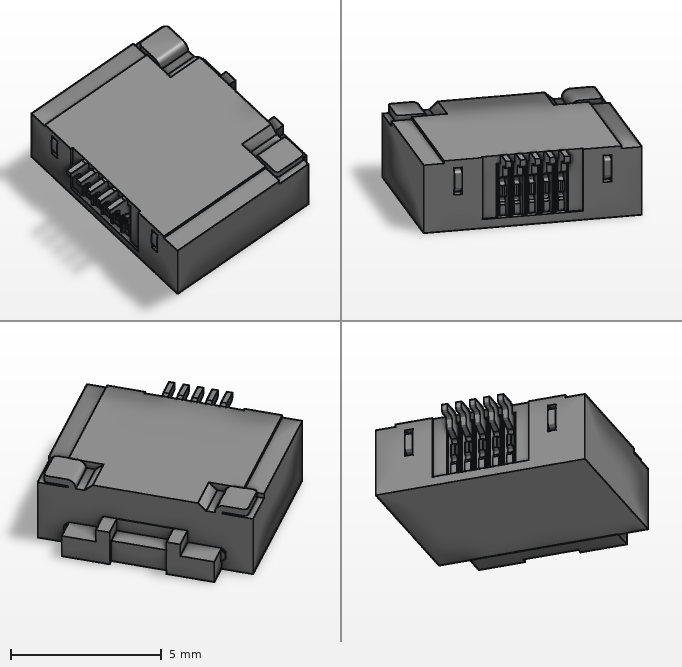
import cadquery as cq


WIDTH = 7.45
DEPTH = 5.71
SHOULDER_HEIGHT = 2.4
DECK_HEIGHT = 2.49
DECK_WIDTH = 6.06
TOP_HEIGHT = 2.55

POCKET_LENGTH = 1.27
POCKET_FLOOR = 2.23
POCKET_TOP_X = 1.82
POCKET_FOOT_X = 2.11

NAIL_OUTER_X = 3.525
NAIL_INNER_X = 2.41
NAIL_LENGTH = 1.21
NAIL_THICKNESS = 0.26
NAIL_BEND_RADIUS = 0.305
NAIL_CORNER_RADIUS = 0.14
NAIL_LEG_EMBED = 0.075
NAIL_LEG_BOTTOM = POCKET_FLOOR - NAIL_LEG_EMBED

NAIL_END_WIDTH = 0.26
NAIL_END_REACH = 0.02
NAIL_HOLE_X = 2.55
NAIL_HOLE_WIDTH = 0.28
NAIL_HOLE_BOTTOM = 1.26
NAIL_HOLE_DEPTH = 0.3
NAIL_HOLE_TOP = 2.205
NAIL_END_ROOT_Z = 2.175
NAIL_FACE_TOP = 1.98
NAIL_FACE_BOTTOM = 1.56

RECESS_WIDTH = 3.435
RECESS_DEPTH = 0.08
CAVITY_BOTTOM = 0.31
CAVITY_TOP = NAIL_HOLE_TOP
CAVITY_BACK = 0.45

CONTACT_COUNT = 5
PITCH = 0.5
CAVITY_WIDTH = CONTACT_COUNT * PITCH
CONTACT_WIDTH = 0.2
CONTACT_REACH = 0.7
RAMP_TOP_Y = -0.05
TAIL_TIP_BOTTOM = 2.39
TAIL_UNDERSIDE = 2.265
NECK_Y = -0.275
NECK_TOP = 2.12
NECK_BOTTOM = 1.95
UPPER_NOTCH_Y = 0.18
UPPER_NOTCH_TOP = 1.67
LOWER_NOTCH_Y = 0.17
LOWER_NOTCH_BOTTOM = 0.81
TINE_Y = 0.13
TINE_TOP = 0.72
TINE_BOTTOM = 0.45
TINE_ROOT_Y = 0.22

RIB_TIP_Y = RECESS_DEPTH
RIB_SHOULDER_Y = 0.11
RIB_BASE_Y = 0.29
RIB_TIP_HALF = 0.015
RIB_SHOULDER_HALF = 0.06
RIB_BASE_HALF = (PITCH - CONTACT_WIDTH) / 2

STOP_Y = 0.05
STOP_BOTTOM = 1.03
STOP_TOP = 1.42
STOP_BEVEL = 0.06
STOP_STEP_WIDTH = 0.06
STOP_STEP_DEPTH = 0.015

ACTUATOR_BOTTOM = 0.02
ACTUATOR_LENGTH = 0.84
ACTUATOR_HALF_WIDTH = 2.64
WING_TOP = 0.84
POST_TOP = 1.31
POST_OUTER_X = 1.46
POST_INNER_X = 0.98
BAR_LENGTH = 0.64
LIP_LENGTH = 0.02
LATCH_REACH = 0.15
LATCH_LENGTH = 0.08
LATCH_TIP_TOP = 0.7
LATCH_TIP_BOTTOM = 0.48
LATCH_ROOT_BOTTOM = 0.36


def block(x0, x1, y0, y1, z0, z1):
    """Box between two opposite corners."""
    return cq.Workplane("XY").box(x1 - x0, y1 - y0, z1 - z0, centered=False).translate((x0, y0, z0))


def both_sides(shape):
    """The shape together with its mirror image across the YZ plane."""
    return shape.union(shape.mirror("YZ"))


def along_y(profile, y0, y1):
    """Extrude a closed XZ profile from y0 to y1."""
    return profile.extrude(y0 - y1).translate((0, y0, 0))


def across_x(profile, center_x, width):
    """Extrude a closed YZ profile across X, centred on center_x."""
    return profile.extrude(width / 2, both=True).translate((center_x, 0, 0))


def housing():
    shoulders = block(-WIDTH / 2, WIDTH / 2, 0, DEPTH, 0, SHOULDER_HEIGHT)
    deck = block(-DECK_WIDTH / 2, DECK_WIDTH / 2, 0, DEPTH, 0, DECK_HEIGHT)
    pocket_profile = (
        cq.Workplane("XZ")
        .moveTo(POCKET_TOP_X, DECK_HEIGHT)
        .lineTo(POCKET_FOOT_X, POCKET_FLOOR)
        .lineTo(WIDTH / 2, POCKET_FLOOR)
        .lineTo(WIDTH / 2, DECK_HEIGHT)
        .close()
    )
    pocket = along_y(pocket_profile, DEPTH - POCKET_LENGTH, DEPTH)
    recess = block(-RECESS_WIDTH / 2, RECESS_WIDTH / 2, 0, RECESS_DEPTH, CAVITY_BOTTOM, DECK_HEIGHT)
    cavity = block(-CAVITY_WIDTH / 2, CAVITY_WIDTH / 2, 0, CAVITY_BACK, CAVITY_BOTTOM, CAVITY_TOP)
    nail_hole = block(
        NAIL_HOLE_X - NAIL_HOLE_WIDTH / 2, NAIL_HOLE_X + NAIL_HOLE_WIDTH / 2,
        0, NAIL_HOLE_DEPTH, NAIL_HOLE_BOTTOM, NAIL_HOLE_TOP,
    )
    return shoulders.union(deck).cut(both_sides(pocket.union(nail_hole))).cut(recess).cut(cavity)


def ribs():
    """Pointed ribs between the contacts, with half ribs against the cavity sides."""
    half_profile = [
        (RIB_TIP_HALF, RIB_TIP_Y),
        (RIB_SHOULDER_HALF, RIB_SHOULDER_Y),
        (RIB_BASE_HALF, RIB_BASE_Y),
        (RIB_BASE_HALF, CAVITY_BACK),
    ]
    profile = half_profile + [(-x, y) for x, y in reversed(half_profile)]
    centers = [(i * PITCH - CAVITY_WIDTH / 2, 0) for i in range(CONTACT_COUNT + 1)]
    rib = (
        cq.Workplane("XY").polyline(profile).close()
        .extrude(CAVITY_TOP - CAVITY_BOTTOM)
        .translate((0, 0, CAVITY_BOTTOM))
    )
    row = rib.translate(centers[0])
    for center in centers[1:]:
        row = row.union(rib.translate(center))
    cavity_space = block(-CAVITY_WIDTH / 2, CAVITY_WIDTH / 2, 0, CAVITY_BACK, CAVITY_BOTTOM, CAVITY_TOP)
    return row.intersect(cavity_space)


def contact():
    """Stamped contact: solder tail, hooked neck, stop face and lower tine."""
    profile = (
        cq.Workplane("YZ")
        .moveTo(CAVITY_BACK, CAVITY_BOTTOM)
        .lineTo(CAVITY_BACK, DECK_HEIGHT)
        .lineTo(RECESS_DEPTH, DECK_HEIGHT)
        .lineTo(RAMP_TOP_Y, TOP_HEIGHT)
        .lineTo(-CONTACT_REACH, TOP_HEIGHT)
        .lineTo(-CONTACT_REACH, TAIL_TIP_BOTTOM)
        .threePointArc((-0.66, 2.3), (-0.57, TAIL_UNDERSIDE))
        .lineTo(-0.395, TAIL_UNDERSIDE)
        .threePointArc((-0.31, 2.22), (NECK_Y, NECK_TOP))
        .lineTo(NECK_Y, NECK_BOTTOM)
        .threePointArc((-0.25, 1.87), (-0.17, 1.82))
        .lineTo(UPPER_NOTCH_Y, UPPER_NOTCH_TOP)
        .threePointArc((0.23, 1.535), (STOP_Y, STOP_TOP))
        .lineTo(STOP_Y, STOP_BOTTOM)
        .threePointArc((0.215, 0.91), (LOWER_NOTCH_Y, LOWER_NOTCH_BOTTOM))
        .lineTo(TINE_Y, TINE_TOP)
        .lineTo(TINE_Y, TINE_BOTTOM)
        .threePointArc((0.16, 0.365), (TINE_ROOT_Y, CAVITY_BOTTOM))
        .close()
    )
    half_width = CONTACT_WIDTH / 2
    bevel = (
        cq.Workplane("XY")
        .polyline([
            (-half_width, STOP_Y),
            (-half_width, STOP_Y + STOP_BEVEL),
            (-half_width + STOP_BEVEL, STOP_Y),
        ])
        .close()
        .extrude(STOP_TOP - STOP_BOTTOM)
        .translate((0, 0, STOP_BOTTOM))
    )
    step = block(
        half_width - STOP_STEP_WIDTH, half_width,
        STOP_Y, STOP_Y + STOP_STEP_DEPTH, STOP_BOTTOM, STOP_TOP,
    )
    return across_x(profile, 0, CONTACT_WIDTH).cut(bevel).cut(step)


def solder_nail():
    """Flat solder tab whose inner edge bends down into the pocket floor."""
    bend_x = NAIL_INNER_X + NAIL_BEND_RADIUS
    bend_z = TOP_HEIGHT - NAIL_BEND_RADIUS
    tab_bottom = TOP_HEIGHT - NAIL_THICKNESS
    inner_radius = NAIL_BEND_RADIUS - NAIL_THICKNESS
    tab_profile = (
        cq.Workplane("XZ")
        .moveTo(NAIL_OUTER_X, TOP_HEIGHT)
        .lineTo(bend_x, TOP_HEIGHT)
        .radiusArc((NAIL_INNER_X, bend_z), -NAIL_BEND_RADIUS)
        .lineTo(NAIL_INNER_X, NAIL_LEG_BOTTOM)
        .lineTo(bend_x - inner_radius, NAIL_LEG_BOTTOM)
        .lineTo(bend_x - inner_radius, bend_z)
        .radiusArc((bend_x, tab_bottom), inner_radius)
        .lineTo(NAIL_OUTER_X, tab_bottom)
        .close()
    )
    tab = along_y(tab_profile, DEPTH - NAIL_LENGTH, DEPTH)
    return tab.edges("|Z and >X").fillet(NAIL_CORNER_RADIUS)


def nail_end():
    """Rounded end of the nail strip standing in its hole in the contact face."""
    profile = (
        cq.Workplane("YZ")
        .moveTo(NAIL_HOLE_DEPTH, NAIL_END_ROOT_Z)
        .lineTo(0.09, 2.1)
        .threePointArc((0.015, 2.055), (-NAIL_END_REACH, NAIL_FACE_TOP))
        .lineTo(-NAIL_END_REACH, NAIL_FACE_BOTTOM)
        .threePointArc((0.0, 1.46), (0.09, 1.385))
        .lineTo(NAIL_HOLE_DEPTH, NAIL_HOLE_BOTTOM)
        .close()
    )
    return across_x(profile, NAIL_HOLE_X, NAIL_END_WIDTH)


def actuator():
    rear = DEPTH + ACTUATOR_LENGTH
    wing = block(POST_OUTER_X, ACTUATOR_HALF_WIDTH, DEPTH, rear, ACTUATOR_BOTTOM, WING_TOP)
    post = block(POST_INNER_X, POST_OUTER_X, DEPTH, rear, ACTUATOR_BOTTOM, POST_TOP)
    bar = block(-POST_INNER_X, POST_INNER_X, DEPTH, DEPTH + BAR_LENGTH, ACTUATOR_BOTTOM, WING_TOP)
    lip = block(-POST_INNER_X, POST_INNER_X, DEPTH, DEPTH + LIP_LENGTH, ACTUATOR_BOTTOM, POST_TOP)
    latch_tip_x = ACTUATOR_HALF_WIDTH + LATCH_REACH
    latch_profile = (
        cq.Workplane("XZ")
        .moveTo(ACTUATOR_HALF_WIDTH, WING_TOP)
        .lineTo(latch_tip_x, LATCH_TIP_TOP)
        .lineTo(latch_tip_x, LATCH_TIP_BOTTOM)
        .lineTo(ACTUATOR_HALF_WIDTH, LATCH_ROOT_BOTTOM)
        .close()
    )
    latch = along_y(latch_profile, DEPTH, DEPTH + LATCH_LENGTH)
    return both_sides(wing.union(post).union(latch)).union(bar).union(lip)


result = housing().union(ribs())
result = result.union(both_sides(solder_nail().union(nail_end())))
result = result.union(actuator())
for index in range(CONTACT_COUNT):
    contact_x = (index - (CONTACT_COUNT - 1) / 2) * PITCH
    result = result.union(contact().translate((contact_x, 0, 0)))